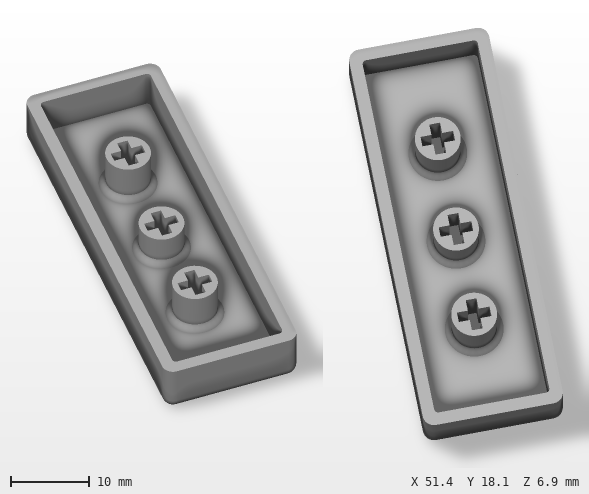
import cadquery as cq

length = 51.4
width = 18.05
height = 6.9
wall = 1.6
floor_thickness = 1.4
outer_radius = 1.45
inner_radius = 0.5

stem_count = 3
stem_pitch = 12.0
stem_diameter = 5.8
stem_base_diameter = 7.45
stem_base_height = (stem_base_diameter - stem_diameter) / 2
outer_stem_height = height - floor_thickness
middle_stem_drop = 1.0
middle_stem_height = outer_stem_height - middle_stem_drop

cross_length_x = 4.1
cross_length_y = 4.2
cross_slot_x = 1.4
cross_slot_y = 1.3


def make_tray():
    """Open tray with rounded corners and a rounded underside edge."""
    body = cq.Workplane("XY").box(length, width, height, centered=(True, True, False))
    body = body.edges("|Z").fillet(outer_radius)
    body = body.faces("<Z").edges().fillet(outer_radius)
    pocket = (
        cq.Workplane("XY", origin=(0, 0, floor_thickness))
        .rect(length - 2 * wall, width - 2 * wall)
        .extrude(height - floor_thickness)
        .edges("|Z")
        .fillet(inner_radius)
    )
    return body.cut(pocket)


def make_stem(stem_height):
    """Round stem with a conical foot, revolved about Z from the tray floor."""
    stem_radius = stem_diameter / 2
    return (
        cq.Workplane("XZ")
        .moveTo(0, 0)
        .lineTo(stem_base_diameter / 2, 0)
        .lineTo(stem_radius, stem_base_height)
        .lineTo(stem_radius, stem_height)
        .lineTo(0, stem_height)
        .close()
        .revolve(360, (0, 0, 0), (0, 1, 0))
    )


def make_cross(depth):
    """Two crossing slots, cut down over the full stem height."""
    top = cq.Workplane("XY", origin=(0, 0, depth))
    along_x = top.rect(cross_length_x, cross_slot_x).extrude(-depth)
    along_y = top.rect(cross_slot_y, cross_length_y).extrude(-depth)
    return along_x.union(along_y)


result = make_tray()
middle_index = (stem_count - 1) // 2
for index in range(stem_count):
    stem_height = middle_stem_height if index == middle_index else outer_stem_height
    stem = make_stem(stem_height).cut(make_cross(stem_height))
    stem_x = (index - middle_index) * stem_pitch
    result = result.union(stem.translate((stem_x, 0, floor_thickness)))